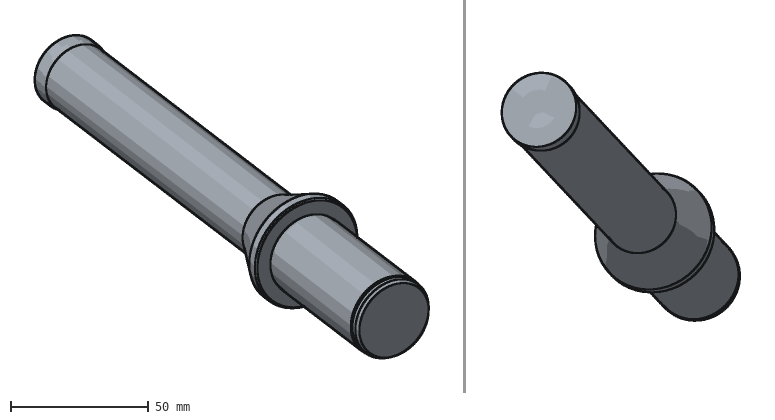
import cadquery as cq

total_length = 227.0
front_x = -total_length / 2

tip_length = 8.0
tip_diameter = 28.1
tip_taper_length = 2.3
tip_edge_length = 0.5
tip_edge_height = 1.1
crest_diameter = 14.5
crest_height = 0.5
recess_depth = 0.7

bar_diameter = 27.0
flare_start = 144.0
flare_blend_length = 2.0
flare_blend_height = 1.0
flange_diameter = 44.0
flange_rear = 166.8
flange_width = 4.5
flange_front_bevel_length = 1.0
flange_front_bevel_height = 0.5
flange_rear_chamfer = 0.7

shank_diameter = 32.0
shank_relief_diameter = 31.5
lead_in_length = 2.0
rear_step_length = 0.7
rear_land_length = 3.5
rear_chamfer_length = 1.4
rear_chamfer_height = 1.0


def revolve_profile(points):
    """Turn (distance from the front, radius) points about the X axis."""
    placed = [(front_x + distance, radius) for distance, radius in points]
    return cq.Workplane("XY").polyline(placed).close().revolve(360, (0, 0, 0), (1, 0, 0))


def make_tip():
    tip_radius = tip_diameter / 2
    rim_x = crest_height + tip_edge_length
    return revolve_profile([
        (recess_depth, 0),
        (0, crest_diameter / 2),
        (crest_height, tip_radius - tip_edge_height),
        (rim_x, tip_radius),
        (tip_length - tip_taper_length, tip_radius),
        (tip_length, bar_diameter / 2),
        (tip_length, 0),
    ])


def make_holder():
    bar_radius = bar_diameter / 2
    flange_radius = flange_diameter / 2
    shank_radius = shank_diameter / 2
    relief_radius = shank_relief_diameter / 2
    flange_front = flange_rear - flange_width
    rear_land_x = total_length - rear_land_length
    return revolve_profile([
        (tip_length, 0),
        (tip_length, bar_radius),
        (flare_start, bar_radius),
        (flare_start + flare_blend_length, bar_radius + flare_blend_height),
        (flange_front - flange_front_bevel_length, flange_radius - flange_front_bevel_height),
        (flange_front, flange_radius),
        (flange_rear - flange_rear_chamfer, flange_radius),
        (flange_rear, flange_radius - flange_rear_chamfer),
        (flange_rear, relief_radius),
        (flange_rear + lead_in_length, shank_radius),
        (rear_land_x - rear_step_length, shank_radius),
        (rear_land_x, relief_radius),
        (total_length - rear_chamfer_length, relief_radius),
        (total_length, relief_radius - rear_chamfer_height),
        (total_length, 0),
    ])


tip = make_tip()
holder = make_holder()

result = cq.Compound.makeCompound([tip.val(), holder.val()])